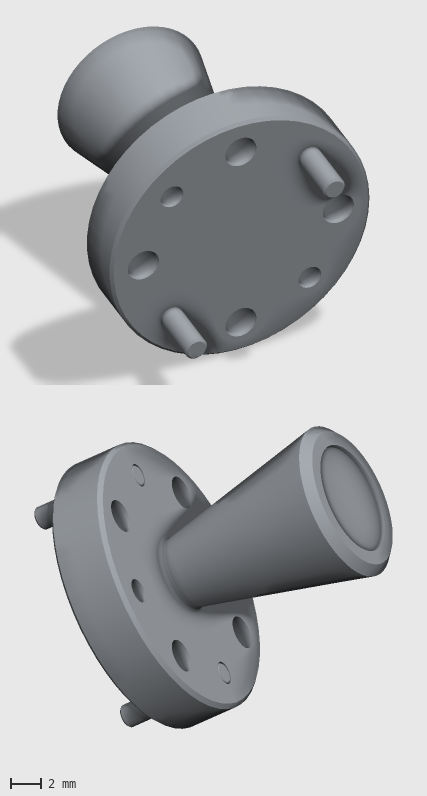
import cadquery as cq
import math

total_length = 21.65
flange_front = 13.73
flange_thickness = 4.03
flange_back = flange_front + flange_thickness

flange_radius = 9.53
front_chamfer = 0.28
back_chamfer = 0.22

mouth_radius = 5.37
mouth_chamfer = 0.63
throat_radius = 2.53
throat_start = 13.3
neck_fillet = 0.25

recess_radius = 3.79
recess_floor_radius = 3.72
recess_depth = 0.25

hole_circle_radius = 7.15
screw_hole_diameter = 2.27
dowel_hole_diameter = 1.67
pin_diameter = 1.6
pin_chamfer = 0.15

screw_angles = [0, 90, 180, 270]
dowel_hole_angles = [135, 315]
pin_angles = [45, 225]


def flange_point(angle):
    """Y and Z of a place on the hole circle, with the angle taken from +Y toward +Z."""
    turn = math.radians(angle)
    return hole_circle_radius * math.cos(turn), hole_circle_radius * math.sin(turn)


def flange_cylinders(angles, diameter, start, length):
    """Cylinders along +X at the given angles on the hole circle."""
    return (
        cq.Workplane("YZ", origin=(start, 0, 0))
        .pushPoints([flange_point(angle) for angle in angles])
        .circle(diameter / 2)
        .extrude(length)
    )


def turned_profile():
    """Horn and flange as one turned shape about the X axis."""
    fillet_start = flange_front - neck_fillet
    fillet_middle = neck_fillet * math.sqrt(0.5)
    return (
        cq.Workplane("XY")
        .moveTo(0, 0)
        .lineTo(0, mouth_radius - mouth_chamfer)
        .lineTo(mouth_chamfer, mouth_radius)
        .lineTo(throat_start, throat_radius)
        .lineTo(fillet_start, throat_radius)
        .threePointArc(
            (fillet_start + fillet_middle, throat_radius + neck_fillet - fillet_middle),
            (flange_front, throat_radius + neck_fillet),
        )
        .lineTo(flange_front, flange_radius - front_chamfer)
        .lineTo(flange_front + front_chamfer, flange_radius)
        .lineTo(flange_back - back_chamfer, flange_radius)
        .lineTo(flange_back, flange_radius - back_chamfer)
        .lineTo(flange_back, 0)
        .close()
        .revolve(360, (0, 0, 0), (1, 0, 0))
    )


def mouth_recess():
    """Shallow recess that narrows slightly toward its floor."""
    return (
        cq.Workplane("XY")
        .polyline([
            (0, 0),
            (0, recess_radius),
            (recess_depth, recess_floor_radius),
            (recess_depth, 0),
        ])
        .close()
        .revolve(360, (0, 0, 0), (1, 0, 0))
    )


def make_horn():
    """Flanged horn with its recess, screw holes, dowel holes and pin seats."""
    horn = turned_profile().cut(mouth_recess())
    for angles, diameter in (
        (screw_angles, screw_hole_diameter),
        (dowel_hole_angles, dowel_hole_diameter),
        (pin_angles, pin_diameter),
    ):
        horn = horn.cut(flange_cylinders(angles, diameter, flange_front, flange_thickness))
    return horn


def make_pin(angle):
    """Dowel pin, flush with the flange front and chamfered at both ends."""
    pin = flange_cylinders([angle], pin_diameter, flange_front, total_length - flange_front)
    return pin.faces("<X or >X").chamfer(pin_chamfer)


horn = make_horn()
pins = []
for pin_angle in pin_angles:
    pins.append(make_pin(pin_angle).val())

result = cq.Compound.makeCompound([horn.val(), *pins])